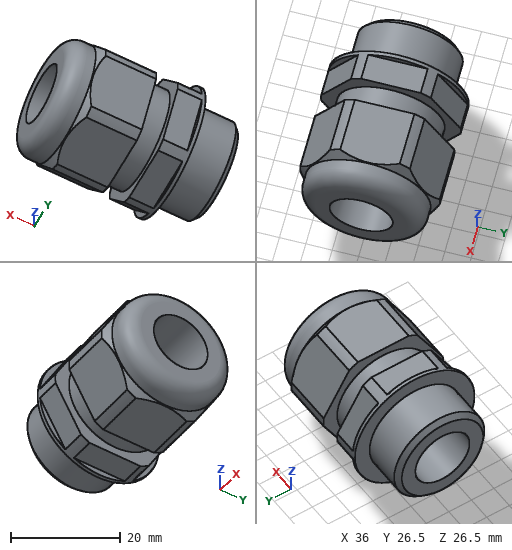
import cadquery as cq
import math

total_length = 36.0
bore_diameter = 12.0

thread_diameter = 20.0
thread_chamfer = 1.0
thread_end = 9.0

flange_diameter = 26.5
flange_end = 9.75
body_hex_end = 14.8

neck_diameter = 20.45
nut_start = 19.22

hex_sides = 6
across_flats = 23.98
across_corners = across_flats / math.cos(math.pi / hex_sides)

cap_start = 31.05
cap_diameter = 23.75
cap_rounding = 3.02
shoulder_chamfer = (flange_diameter - cap_diameter) / 2


def cylinder(start, end, diameter):
    """Round bar on the X axis between two X positions."""
    return cq.Workplane("YZ", origin=(start, 0, 0)).circle(diameter / 2).extrude(end - start)


def hexagon(start, end):
    """Hexagonal bar on the X axis with corners toward +Y and -Y, flats toward +Z and -Z."""
    return (
        cq.Workplane("YZ", origin=(start, 0, 0))
        .polygon(hex_sides, across_corners)
        .extrude(end - start)
    )


stem = cylinder(0, thread_end, thread_diameter).faces("<X").chamfer(thread_chamfer)
flange = cylinder(thread_end, flange_end, flange_diameter)
body_blank = cylinder(flange_end, body_hex_end, flange_diameter)
body_hex = hexagon(flange_end, body_hex_end).intersect(body_blank)
neck = cylinder(body_hex_end, nut_start, neck_diameter)

nut_blank = cylinder(nut_start, cap_start, flange_diameter).faces(">X").chamfer(shoulder_chamfer)
nut_hex = hexagon(nut_start, cap_start).intersect(nut_blank)
cap = cylinder(cap_start, total_length, cap_diameter).faces(">X").edges().fillet(cap_rounding)

bore = cylinder(0, total_length, bore_diameter)

result = stem.union(flange).union(body_hex).union(neck).union(nut_hex).union(cap).cut(bore)